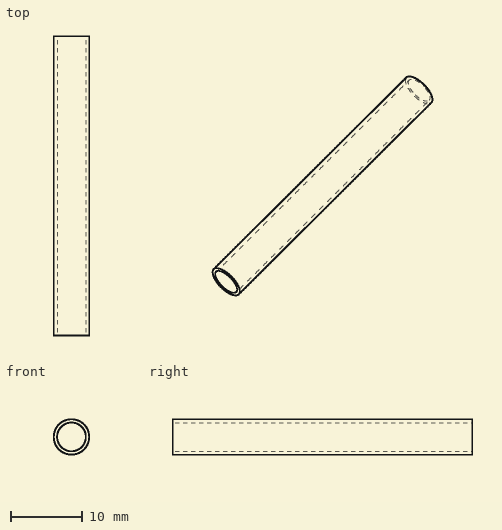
import cadquery as cq

length = 42.0
outer_diameter = 5.0
wall_thickness = 0.5
inner_diameter = outer_diameter - 2 * wall_thickness


def make_tube():
    """Extrude the ring-shaped section from the +Y end to the -Y end."""
    end_plane = cq.Workplane("XZ", origin=(0, length / 2, 0))
    ring = end_plane.circle(outer_diameter / 2).circle(inner_diameter / 2)
    return ring.extrude(length)


result = make_tube()